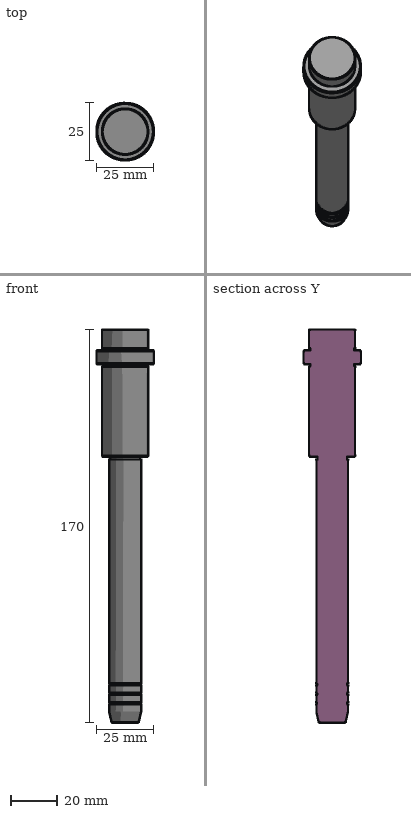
import cadquery as cq

length = 170.0
body_radius = 10.0
collar_radius = 12.5
stem_radius = 7.0

collar_top = 161.0
collar_thickness = 6.1
collar_bottom = collar_top - collar_thickness
body_bottom = 115.0
tip_height = 5.0

edge_chamfer = 0.5
head_chamfer = 0.3
relief_depth = 0.5
collar_gap = 0.5
neck_length = 1.0
tip_radius = 6.0
tip_chamfer = 0.5

groove_count = 3
groove_pitch = 4.0
groove_width = 1.0
groove_depth = 0.5
lowest_groove = 8.5


def disc(radius, bottom, top):
    """Solid cylinder on the pin axis between two heights."""
    return cq.Workplane("XY").workplane(offset=bottom).circle(radius).extrude(top - bottom)


def turned(points):
    """Solid of revolution about Z from (radius, height) points."""
    return cq.Workplane("XZ").polyline(points).close().revolve(360, (0, 0, 0), (0, 1, 0))


def v_groove(middle):
    """Ring that cuts a V groove into the stem, centred on a height."""
    half_width = groove_width / 2
    return turned([
        (stem_radius, middle - half_width),
        (stem_radius - groove_depth, middle),
        (stem_radius, middle + half_width),
    ])


neck_radius = stem_radius - relief_depth
stem = turned([
    (0, 0),
    (tip_radius - tip_chamfer, 0),
    (tip_radius, tip_chamfer),
    (stem_radius, tip_height),
    (stem_radius, body_bottom - neck_length),
    (neck_radius, body_bottom - neck_length),
    (neck_radius, body_bottom),
    (0, body_bottom),
])
for index in range(groove_count):
    stem = stem.cut(v_groove(lowest_groove + index * groove_pitch))

relief_radius = body_radius - relief_depth
body_top = collar_bottom - collar_gap
head_bottom = collar_top + collar_gap
body = disc(body_radius, body_bottom, body_top).edges().chamfer(edge_chamfer)
head = disc(body_radius, head_bottom, length)
head = head.faces("<Z").edges().chamfer(edge_chamfer)
head = head.faces(">Z").edges().chamfer(head_chamfer)
core = disc(relief_radius, body_bottom, length - edge_chamfer)

collar = disc(collar_radius, collar_bottom, collar_top).edges().chamfer(edge_chamfer)

result = stem.union(core).union(body).union(head).union(collar)